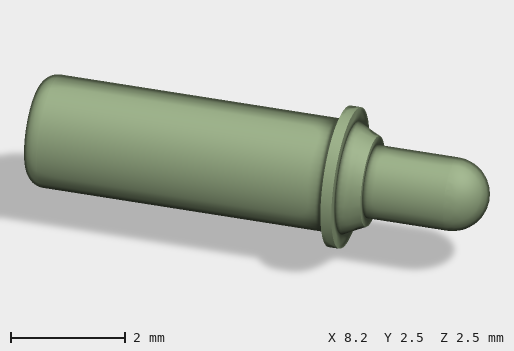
import cadquery as cq

total_length = 8.2

barrel_radius = 1.0
barrel_length = 5.5
barrel_end_fillet = 0.3

flange_diameter = 2.5
flange_thickness = 0.2

lead_in_length = 0.065
lead_in_end_radius = 0.97
collar_length = 0.4
collar_end_radius = 0.8

plunger_radius = 0.65

flange_end = barrel_length + flange_thickness
lead_in_end = flange_end + lead_in_length
collar_end = flange_end + collar_length


def cylinder_x(start, end, radius):
    """Solid cylinder along X between two stations."""
    return cq.Workplane("YZ", origin=(start, 0, 0)).circle(radius).extrude(end - start)


def barrel():
    return cylinder_x(0, barrel_length, barrel_radius).faces("<X").edges().fillet(barrel_end_fillet)


def flange():
    return cylinder_x(barrel_length, flange_end, flange_diameter / 2)


def collar():
    profile = (
        cq.Workplane("XY")
        .moveTo(flange_end, 0)
        .lineTo(flange_end, barrel_radius)
        .lineTo(lead_in_end, lead_in_end_radius)
        .lineTo(collar_end, collar_end_radius)
        .lineTo(collar_end, 0)
        .close()
    )
    return profile.revolve(360, (0, 0, 0), (1, 0, 0))


def plunger():
    tip_center = total_length - plunger_radius
    tip = cq.Workplane("XY").sphere(plunger_radius).translate((tip_center, 0, 0))
    return cylinder_x(flange_end, tip_center, plunger_radius).union(tip)


result = barrel().union(flange()).union(collar()).union(plunger())